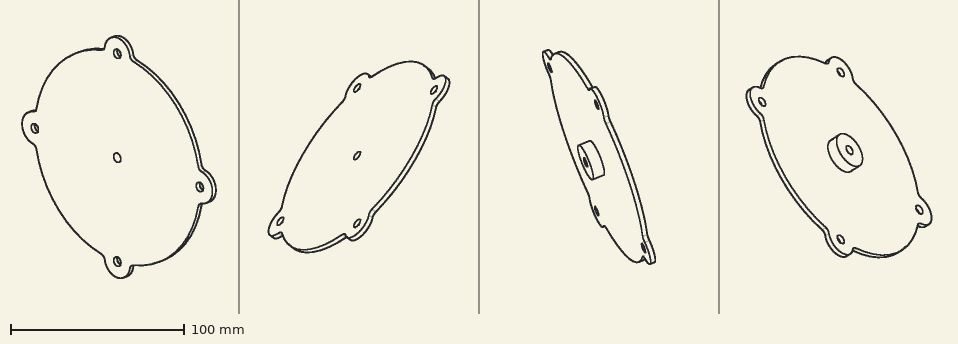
import cadquery as cq

overall_width = 150.0
total_depth = 10.0
plate_thickness = 3.0
lug_radius = 10.0
blend_radius = 3.5
hole_diameter = 5.5
boss_diameter = 21.5

disc_radius = overall_width / 2 - lug_radius
centre = [(0, 0)]
lug_centres = [(disc_radius, 0), (0, disc_radius), (-disc_radius, 0), (0, -disc_radius)]

corner_margin = 0.3
corner_reach = disc_radius - corner_margin


def cylinders_along_y(centres, diameter, depth):
    """Cylinders growing from the flat face (Y = 0) toward +Y."""
    sketch = cq.Workplane("XZ").pushPoints(centres)
    return sketch.circle(diameter / 2).extrude(-depth)


def lugged_plate():
    """Disc with four lugs, blended where each lug meets the rim."""
    disc = cylinders_along_y(centre, 2 * disc_radius, plate_thickness)
    lugs = cylinders_along_y(lug_centres, 2 * lug_radius, plate_thickness)
    corners = cq.selectors.BoxSelector(
        (-corner_reach, 0, -corner_reach),
        (corner_reach, plate_thickness, corner_reach),
    )
    return disc.union(lugs).edges("|Y").edges(corners).fillet(blend_radius)


boss = cylinders_along_y(centre, boss_diameter, total_depth)

holes = cylinders_along_y(centre + lug_centres, hole_diameter, total_depth)

result = lugged_plate().union(boss).cut(holes)